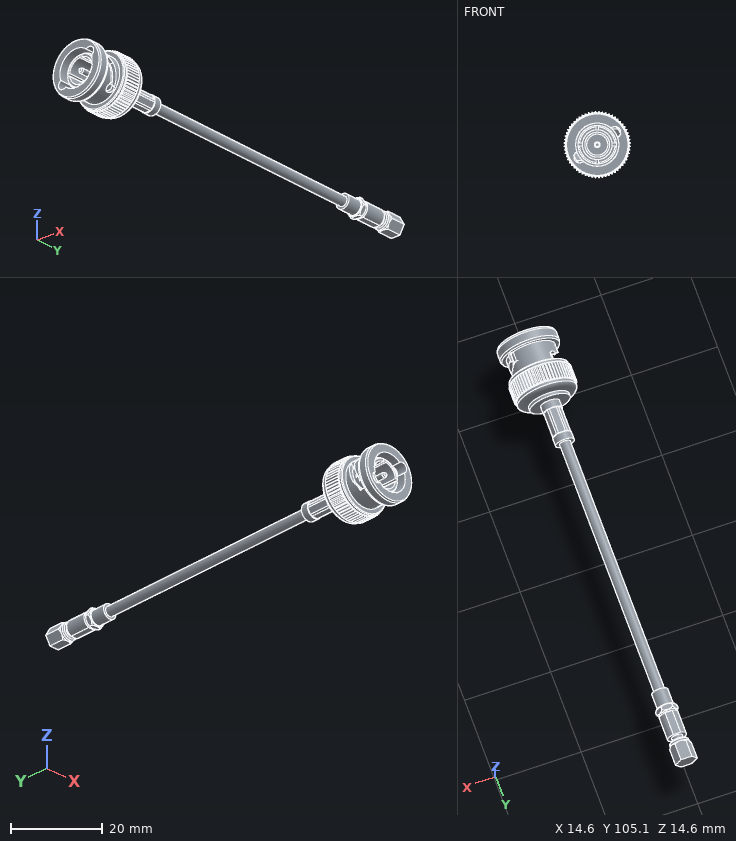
import cadquery as cq
import math

TOTAL_LENGTH = 105.1

CABLE_RADIUS = 1.3
CABLE_START = 25.4
CABLE_END = 87.7

BORE_RADIUS = 4.7
RIM_RADIUS = 6.9
RIM_LENGTH = 2.9
RIM_EDGE_DROP = 0.2
RIM_EDGE_LENGTH = 0.5
BARREL_RADIUS = 5.7
GRIP_START = 8.0
GRIP_CHAMFER = 0.2
GRIP_END = 13.8
DOME_RADIUS = 6.0
DOME_TOP = 14.6
DOME_BULGE = 0.1
COUPLING_END = 14.9
KNURL_RADIUS = 7.3
KNURL_ROOT_RADIUS = 6.8
KNURL_START = 8.8
KNURL_END = 13.0
KNURL_BEVEL = 0.4
KNURL_BAND_RADIUS = 6.7
TOOTH_COUNT = 60

TRACK_COUNT = 2
ENTRY_ANGLE = 215.0
ENTRY_RADIUS = 1.3
ENTRY_DEPTH = 5.2
LOCK_ANGLE = 137.0
LOCK_Y = 6.6
LOCK_RADIUS = 1.0
RAMP_CORNERS_YZ = [(7.5, 3.3), (6.1, 3.3), (4.2, -1.8), (4.2, -3.2), (5.0, -3.6), (6.2, -1.8)]

SLEEVE_TIP = 1.6
SLEEVE_RADIUS = 4.2
SLEEVE_LEAD_RADIUS = 3.9
SLEEVE_LEAD_LENGTH = 0.4
SLEEVE_BORE_RADIUS = 3.3
SLEEVE_FLOOR = 8.4
SLEEVE_SLOT_WIDTH = 0.6
SLEEVE_SLOT_END = 6.3
SLEEVE_SLOT_COUNT = 4
BODY_CORE_START = 9.5
BODY_CORE_END = 15.7
INSULATOR_RADIUS = 2.3
INSULATOR_START = 6.8
INSULATOR_COLLAR_RADIUS = 2.7
INSULATOR_COLLAR_START = 7.4
PIN_RADIUS = 0.6
PIN_TIP = 1.4
PIN_POINT_RADIUS = 0.4
PIN_POINT_LENGTH = 0.4

TAIL_RADIUS = 2.2
CRIMP_START = 17.5
CRIMP_END = 23.5
CRIMP_CORNER_RADIUS = 2.1
CRIMP_ACROSS_FLATS = 3.9

SLEEVE_END_RADIUS = 1.9
FLANGE_START = 91.6
FLANGE_END = 93.0
FLANGE_CHAMFER = 0.4
FLAT_BODY_START = 93.5
FLAT_BODY_END = 98.9
FLAT_BODY_RADIUS = 2.2
FLAT_WIDTH = 1.7
NECK_RADIUS = 1.3
NUT_START = 100.0
NUT_COLLAR_RADIUS = 2.2
NUT_COLLAR_LENGTH = 0.8
NUT_COLLAR_CHAMFER = 0.3
NUT_CHAMFER_LENGTH = 0.4
HEX_ACROSS_FLATS = 4.4
HEX_CORNER_RADIUS = HEX_ACROSS_FLATS / math.sqrt(3)


def revolve_profile(radius_y_points):
    """Solid of revolution about the Y axis from (radius, y) points."""
    return cq.Workplane("XY").polyline(radius_y_points).close().revolve(360, (0, 0), (0, 1))


def cylinder(radius, start, end):
    return cq.Workplane("XZ", origin=(0, start, 0)).circle(radius).extrude(start - end)


def hex_prism(across_flats, start, end):
    """Hexagonal prism along Y with two corners on the X axis."""
    corner_diameter = 2 * across_flats / math.sqrt(3)
    return cq.Workplane("XZ", origin=(0, start, 0)).polygon(6, corner_diameter).extrude(start - end)


def around_y(shape, angle):
    """Turn a shape from +X toward +Z about the Y axis."""
    return shape.rotate((0, 0, 0), (0, 1, 0), -angle)


def make_cable():
    return cylinder(CABLE_RADIUS, CABLE_START, CABLE_END)


def coupling_blank():
    """Turned coupling nut with a shallow groove that the knurl fills."""
    dome_middle = (
        (DOME_RADIUS + RIM_RADIUS) / 2 + DOME_BULGE,
        (DOME_TOP + GRIP_END) / 2 + DOME_BULGE,
    )
    return (
        cq.Workplane("XY")
        .moveTo(BORE_RADIUS, 0)
        .lineTo(RIM_RADIUS - RIM_EDGE_DROP, 0)
        .lineTo(RIM_RADIUS, RIM_EDGE_LENGTH)
        .lineTo(RIM_RADIUS, RIM_LENGTH - RIM_EDGE_LENGTH)
        .lineTo(RIM_RADIUS - RIM_EDGE_DROP, RIM_LENGTH)
        .lineTo(BARREL_RADIUS, RIM_LENGTH)
        .lineTo(BARREL_RADIUS, GRIP_START)
        .lineTo(RIM_RADIUS - GRIP_CHAMFER, GRIP_START)
        .lineTo(RIM_RADIUS, GRIP_START + GRIP_CHAMFER)
        .lineTo(RIM_RADIUS, KNURL_START)
        .lineTo(KNURL_BAND_RADIUS, KNURL_START)
        .lineTo(KNURL_BAND_RADIUS, KNURL_END)
        .lineTo(RIM_RADIUS, KNURL_END)
        .lineTo(RIM_RADIUS, GRIP_END)
        .threePointArc(dome_middle, (DOME_RADIUS, DOME_TOP))
        .lineTo(BORE_RADIUS, COUPLING_END)
        .close()
        .revolve(360, (0, 0), (0, 1))
    )


def knurl():
    """Ring of pointed teeth, bevelled at both ends."""
    tooth_pitch = 2 * math.pi / TOOTH_COUNT
    outline = []
    for i in range(TOOTH_COUNT):
        root = i * tooth_pitch
        tip = root + tooth_pitch / 2
        outline.append((KNURL_ROOT_RADIUS * math.cos(root), KNURL_ROOT_RADIUS * math.sin(root)))
        outline.append((KNURL_RADIUS * math.cos(tip), KNURL_RADIUS * math.sin(tip)))
    teeth = (
        cq.Workplane("XZ", origin=(0, KNURL_START, 0))
        .polyline(outline)
        .close()
        .extrude(KNURL_START - KNURL_END)
    )
    bevel_radius = RIM_RADIUS + KNURL_BEVEL
    envelope = revolve_profile([
        (BARREL_RADIUS, KNURL_START),
        (RIM_RADIUS, KNURL_START),
        (bevel_radius, KNURL_START + KNURL_BEVEL),
        (bevel_radius, KNURL_END - KNURL_BEVEL),
        (RIM_RADIUS, KNURL_END),
        (BARREL_RADIUS, KNURL_END),
    ])
    return teeth.intersect(envelope)


def bayonet_track():
    """Axial entry groove, slanting ramp and round locking hole."""
    entry = cylinder(ENTRY_RADIUS, 0, ENTRY_DEPTH).translate((BORE_RADIUS, 0, 0))
    ramp = cq.Workplane("YZ").polyline(RAMP_CORNERS_YZ).close().extrude(-RIM_RADIUS)
    lock = cq.Workplane("YZ").center(LOCK_Y, 0).circle(LOCK_RADIUS).extrude(RIM_RADIUS)
    return around_y(entry, ENTRY_ANGLE).union(ramp).union(around_y(lock, LOCK_ANGLE))


def make_coupling():
    coupling = coupling_blank().union(knurl())
    for i in range(TRACK_COUNT):
        coupling = coupling.cut(around_y(bayonet_track(), i * 360 / TRACK_COUNT))
    return coupling


def contact_sleeve():
    """Slotted spring sleeve that reaches forward inside the coupling nut."""
    sleeve = revolve_profile([
        (SLEEVE_BORE_RADIUS, SLEEVE_TIP),
        (SLEEVE_LEAD_RADIUS, SLEEVE_TIP),
        (SLEEVE_RADIUS, SLEEVE_TIP + SLEEVE_LEAD_LENGTH),
        (SLEEVE_RADIUS, BODY_CORE_START),
        (SLEEVE_BORE_RADIUS, BODY_CORE_START),
    ])
    slot = cq.Workplane("XY", origin=(0, SLEEVE_TIP, 0)).box(
        BORE_RADIUS, SLEEVE_SLOT_END - SLEEVE_TIP, SLEEVE_SLOT_WIDTH, centered=(False, False, True)
    )
    for i in range(SLEEVE_SLOT_COUNT):
        sleeve = sleeve.cut(around_y(slot, i * 360 / SLEEVE_SLOT_COUNT))
    return sleeve


def contact_pin():
    return revolve_profile([
        (0, PIN_TIP),
        (PIN_POINT_RADIUS, PIN_TIP),
        (PIN_RADIUS, PIN_TIP + PIN_POINT_LENGTH),
        (PIN_RADIUS, SLEEVE_FLOOR),
        (0, SLEEVE_FLOOR),
    ])


def crimped_tail():
    """Round tail with its middle length crimped to a hexagon."""
    crimp = cylinder(CRIMP_CORNER_RADIUS, CRIMP_START, CRIMP_END).intersect(
        hex_prism(CRIMP_ACROSS_FLATS, CRIMP_START, CRIMP_END)
    )
    return (
        cylinder(TAIL_RADIUS, BODY_CORE_END, CRIMP_START)
        .union(crimp)
        .union(cylinder(TAIL_RADIUS, CRIMP_END, CABLE_START))
    )


def make_bnc_body():
    core = cylinder(BORE_RADIUS, BODY_CORE_START, BODY_CORE_END)
    floor = cylinder(SLEEVE_RADIUS, SLEEVE_FLOOR, BODY_CORE_START)
    insulator = cylinder(INSULATOR_RADIUS, INSULATOR_START, SLEEVE_FLOOR)
    insulator_collar = cylinder(INSULATOR_COLLAR_RADIUS, INSULATOR_COLLAR_START, SLEEVE_FLOOR)
    return (
        core.union(floor)
        .union(contact_sleeve())
        .union(insulator)
        .union(insulator_collar)
        .union(contact_pin())
        .union(crimped_tail())
    )


def hex_flange():
    """Short hexagon with its corners bevelled at both ends."""
    envelope = revolve_profile([
        (0, FLANGE_START),
        (HEX_CORNER_RADIUS - FLANGE_CHAMFER, FLANGE_START),
        (HEX_CORNER_RADIUS, FLANGE_START + FLANGE_CHAMFER),
        (HEX_CORNER_RADIUS, FLANGE_END - FLANGE_CHAMFER),
        (HEX_CORNER_RADIUS - FLANGE_CHAMFER, FLANGE_END),
        (0, FLANGE_END),
    ])
    return hex_prism(HEX_ACROSS_FLATS, FLANGE_START, FLANGE_END).intersect(envelope)


def flat_sided_body():
    """Round body with a flat on its top and underside."""
    flat_height = math.sqrt(FLAT_BODY_RADIUS**2 - (FLAT_WIDTH / 2) ** 2)
    flat_slab = cq.Workplane("XY", origin=(0, FLAT_BODY_START, 0)).box(
        2 * FLAT_BODY_RADIUS,
        FLAT_BODY_END - FLAT_BODY_START,
        2 * flat_height,
        centered=(True, False, True),
    )
    return cylinder(FLAT_BODY_RADIUS, FLAT_BODY_START, FLAT_BODY_END).intersect(flat_slab)


def hex_nut():
    """Hexagon end whose back runs down to a nearly round collar."""
    collar_end = NUT_START + NUT_COLLAR_LENGTH
    envelope = revolve_profile([
        (0, NUT_START),
        (NUT_COLLAR_RADIUS - NUT_COLLAR_CHAMFER, NUT_START),
        (NUT_COLLAR_RADIUS, NUT_START + NUT_COLLAR_CHAMFER),
        (NUT_COLLAR_RADIUS, collar_end),
        (HEX_CORNER_RADIUS, collar_end + NUT_CHAMFER_LENGTH),
        (HEX_CORNER_RADIUS, TOTAL_LENGTH),
        (0, TOTAL_LENGTH),
    ])
    return hex_prism(HEX_ACROSS_FLATS, NUT_START, TOTAL_LENGTH).intersect(envelope)


def make_small_plug():
    sleeve = cylinder(SLEEVE_END_RADIUS, CABLE_END, FLANGE_START)
    neck = cylinder(NECK_RADIUS, FLANGE_START, NUT_START)
    return sleeve.union(neck).union(hex_flange()).union(flat_sided_body()).union(hex_nut())


cable = make_cable()
coupling = make_coupling()
bnc_body = make_bnc_body()
small_plug = make_small_plug()

result = cq.Compound.makeCompound([cable.val(), coupling.val(), bnc_body.val(), small_plug.val()])